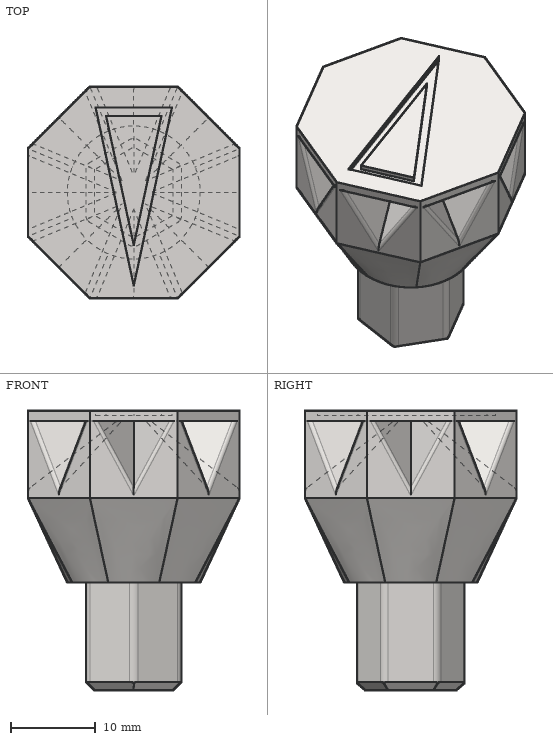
import math

import cadquery as cq

total_height = 33.0
stem_height = 12.7
taper_height = 10.0
head_height = total_height - stem_height - taper_height
head_base = stem_height + taper_height

head_sides = 8
head_width = 25.0
head_step = 360.0 / head_sides
head_apothem = head_width / 2
half_step = math.radians(head_step / 2)
head_corner_radius = head_apothem / math.cos(half_step)
collar_radius = 7.85

stem_sides = 6
stem_width = 11.3
stem_edge_radius = 1.0
stem_chamfer = 1.0

rib_thickness = 1.5
notch_roof_drop = 1.2
notch_tip_rise = 1.0
notch_edge_radius = 0.5
notch_half_width = head_apothem * math.tan(half_step) - rib_thickness / 2 / math.cos(half_step)
notch_depth = notch_half_width / math.tan(half_step)
notch_roof_z = total_height - notch_roof_drop
notch_tip_z = head_base + notch_tip_rise
selection_tolerance = 0.01

pointer_back = 10.0
pointer_tip = -11.0
pointer_half_width = 4.5
groove_width = 1.0
groove_depth = 0.6


def polar_point(radius, angle, z=0.0):
    """Vector at a radius and an angle in degrees around the Z axis."""
    turn = math.radians(angle)
    return cq.Vector(radius * math.cos(turn), radius * math.sin(turn), z)


def hexagon(width):
    """Stem hexagon on the XY plane, given its width across flats."""
    across_corners = width / math.cos(math.pi / stem_sides)
    return cq.Workplane("XY").transformed(rotate=(0, 0, 90)).polygon(stem_sides, across_corners)


def make_stem():
    """Hexagonal stem with rounded edges and a plane-faced chamfer at its foot."""
    prism = hexagon(stem_width).extrude(stem_height).edges("|Z").fillet(stem_edge_radius)
    chamfered = hexagon(stem_width).extrude(stem_height).faces("<Z").chamfer(stem_chamfer)
    return prism.intersect(chamfered)


def make_taper():
    """Loft from the round collar up to the octagon, with one face for each side."""
    arcs = []
    sides = []
    for side in range(head_sides):
        angle = head_step * (side + 0.5)
        middle = angle + head_step / 2
        end = angle + head_step
        arcs.append(
            cq.Edge.makeThreePointArc(
                polar_point(collar_radius, angle, stem_height),
                polar_point(collar_radius, middle, stem_height),
                polar_point(collar_radius, end, stem_height),
            )
        )
        sides.append(
            cq.Edge.makeLine(
                polar_point(head_corner_radius, angle, head_base),
                polar_point(head_corner_radius, end, head_base),
            )
        )
    collar = cq.Wire.assembleEdges(arcs)
    octagon = cq.Wire.assembleEdges(sides)
    return cq.Workplane(obj=cq.Solid.makeLoft([collar, octagon], True))


def make_notch_cutter():
    """Tetrahedron that cuts the notch in the head face on the +X side."""
    left = cq.Vector(head_apothem, -notch_half_width, notch_roof_z)
    right = cq.Vector(head_apothem, notch_half_width, notch_roof_z)
    valley = cq.Vector(head_apothem - notch_depth, 0, notch_roof_z)
    tip = cq.Vector(head_apothem, 0, notch_tip_z)
    triangles = [
        (left, right, valley),
        (left, right, tip),
        (left, valley, tip),
        (right, valley, tip),
    ]
    faces = [cq.Face.makeFromWires(cq.Wire.makePolygon(corners, close=True)) for corners in triangles]
    return cq.Workplane(obj=cq.Solid.makeSolid(cq.Shell.makeShell(faces)))


def make_head():
    """Octagonal head with a round-edged notch in every face."""
    head = (
        cq.Workplane("XY", origin=(0, 0, head_base))
        .transformed(rotate=(0, 0, head_step / 2))
        .polygon(head_sides, 2 * head_corner_radius)
        .extrude(head_height)
    )
    cutter = make_notch_cutter()
    for side in range(head_sides):
        head = head.cut(cutter.rotate((0, 0, 0), (0, 0, 1), side * head_step))

    rim_z = (notch_roof_z + notch_tip_z) / 2
    rim_turn = math.degrees(math.atan2(notch_half_width / 2, head_apothem))
    rim_radius = math.hypot(notch_half_width / 2, head_apothem)
    rim_edges = []
    for side in range(head_sides):
        for turn in (-rim_turn, rim_turn):
            rim_middle = polar_point(rim_radius, side * head_step + turn, rim_z)
            rim_edges += [
                edge
                for edge in head.edges().vals()
                if (edge.Center() - rim_middle).Length < selection_tolerance
            ]
    return head.newObject(rim_edges).fillet(notch_edge_radius)


def make_pointer_groove():
    """Triangular ring that cuts the pointer groove, leaving its island."""
    outline = [
        (-pointer_half_width, pointer_back),
        (pointer_half_width, pointer_back),
        (0, pointer_tip),
    ]
    floor = cq.Workplane("XY", origin=(0, 0, total_height - groove_depth))
    block = floor.polyline(outline).close().extrude(groove_depth)
    island = floor.polyline(outline).close().offset2D(-groove_width).extrude(groove_depth)
    return block.cut(island)


result = make_stem().union(make_taper()).union(make_head()).cut(make_pointer_groove())